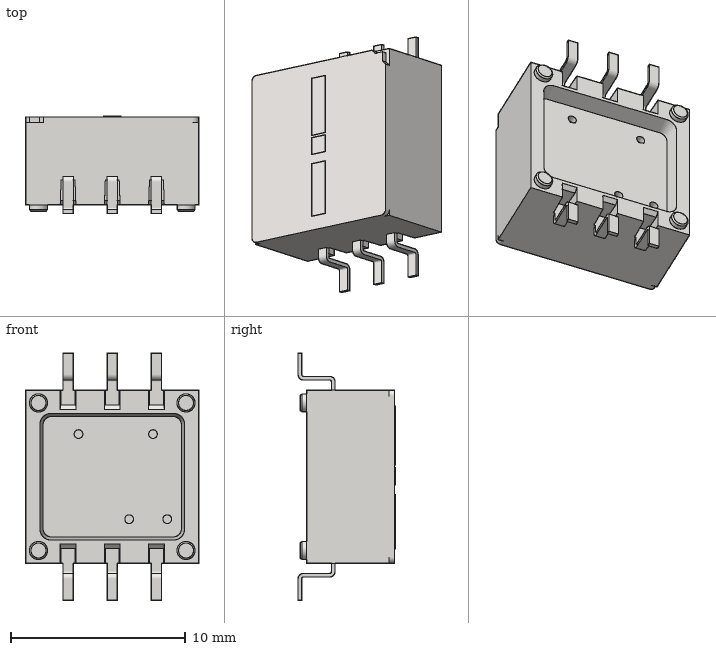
import cadquery as cq
import math


body_side = 9.95
body_depth = 5.06
half_side = body_side / 2

pocket_width = 8.32
pocket_height = 7.29
pocket_depth = 1.0
pocket_inset = 0.185
pocket_corner_radius = 0.66
pocket_taper = math.degrees(math.atan2(pocket_inset, pocket_depth))

dimple_diameter = 0.5
dimple_depth = 0.5
dimple_centres = [(-1.94, 2.45), (2.34, 2.45), (0.97, -2.44), (3.16, -2.44)]

peg_diameter = 1.04
peg_height = 0.37
peg_chamfer = 0.09
peg_spacing = 8.48

lead_pitch = 2.54
lead_width = 0.6
lead_thickness = 0.22
lead_inner_radius = 0.1
lead_outer_radius = lead_inner_radius + lead_thickness
lead_span = 14.2
lead_standoff = 0.5
lead_leg_back = 1.64
lead_bar_top = 5.77
lead_root_depth = 0.5
lead_root_z = half_side - lead_root_depth
lead_columns = [-lead_pitch, 0, lead_pitch]

slot_floor_y = lead_leg_back - lead_thickness
slot_mouth_width = 0.9
slot_floor_width = 0.8
slot_floor_length = 0.86
slot_chamfer = 0.24

mark_depth = 0.33
mark_radius = 0.33
key_length = 1.01
key_setback = 0.23

strip_height = 0.05
strip_width = 1.0
strip_spans = [(-4.15, -1.02), (-0.47, 0.53), (0.67, 4.07)]


def front_plane(y):
    """Sketch plane at the given y: local x is X, local y is Z, normal is -Y."""
    return cq.Workplane("XZ", origin=(0, y, 0))


def make_housing():
    return front_plane(0).rect(body_side, body_side).extrude(-body_depth)


def make_pocket():
    outline = cq.Sketch().rect(pocket_width, pocket_height).vertices().fillet(pocket_corner_radius)
    return front_plane(0).placeSketch(outline).extrude(-pocket_depth, taper=pocket_taper)


def make_dimples():
    floor = front_plane(pocket_depth).pushPoints(dimple_centres)
    return floor.circle(dimple_diameter / 2).extrude(-dimple_depth)


def make_pegs():
    pegs = front_plane(0).rect(peg_spacing, peg_spacing, forConstruction=True).vertices()
    return pegs.circle(peg_diameter / 2).extrude(peg_height).faces("<Y").chamfer(peg_chamfer)


def make_slot(x):
    """Slot at the top edge: side walls narrow towards the floor, the end wall is chamfered at its mouth."""
    plan = (
        cq.Workplane("XY")
        .polyline([
            (x - slot_mouth_width / 2, 0),
            (x + slot_mouth_width / 2, 0),
            (x + slot_floor_width / 2, slot_floor_y),
            (x - slot_floor_width / 2, slot_floor_y),
        ])
        .close()
        .extrude(half_side)
    )
    end_z = half_side - slot_floor_length
    side = (
        cq.Workplane("YZ", origin=(x - slot_mouth_width / 2, 0, 0))
        .moveTo(0, half_side)
        .lineTo(0, end_z - slot_chamfer)
        .lineTo(slot_chamfer, end_z)
        .lineTo(slot_floor_y, end_z)
        .lineTo(slot_floor_y, half_side)
        .close()
        .extrude(slot_mouth_width)
    )
    return plan.intersect(side)


def make_lead(x):
    """Top lead: a leg rising from the housing, a bar running forwards and an upright foot."""
    foot_front = -lead_standoff
    foot_back = foot_front + lead_thickness
    leg_front = lead_leg_back - lead_thickness
    bar_bottom = lead_bar_top - lead_thickness
    lead = (
        cq.Workplane("YZ", origin=(x - lead_width / 2, 0, 0))
        .moveTo(lead_leg_back, lead_root_z)
        .lineTo(lead_leg_back, lead_bar_top)
        .lineTo(foot_back, lead_bar_top)
        .lineTo(foot_back, lead_span / 2)
        .lineTo(foot_front, lead_span / 2)
        .lineTo(foot_front, bar_bottom)
        .lineTo(leg_front, bar_bottom)
        .lineTo(leg_front, lead_root_z)
        .close()
        .extrude(lead_width)
    )
    outer_bends = [(lead_leg_back, lead_bar_top), (foot_front, bar_bottom)]
    inner_bends = [(foot_back, lead_bar_top), (leg_front, bar_bottom)]
    for bends, radius in [(outer_bends, lead_outer_radius), (inner_bends, lead_inner_radius)]:
        for y, z in bends:
            lead = lead.edges(cq.selectors.NearestToPointSelector((x, y, z))).fillet(radius)
    return lead


def make_corner_key():
    """Angled step cut around the -X, +Z corner of the back face."""
    left = -half_side
    top = half_side
    return (
        front_plane(body_depth)
        .polyline([
            (left, top),
            (left + key_length, top),
            (left + key_length - key_setback, top - key_setback),
            (left + key_setback, top - key_setback),
            (left + key_setback, top - key_length + key_setback),
            (left, top - key_length),
        ])
        .close()
        .extrude(mark_depth)
    )


def make_corner_round(side_x, side_z):
    """Waste outside a rounded corner of the back face; side_x and side_z are +1 or -1."""
    inset = half_side - mark_radius
    waste_centre = half_side - mark_radius / 2
    block = (
        front_plane(body_depth)
        .center(side_x * waste_centre, side_z * waste_centre)
        .rect(mark_radius, mark_radius)
        .extrude(mark_depth)
    )
    rounding = front_plane(body_depth).center(side_x * inset, side_z * inset).circle(mark_radius)
    return block.cut(rounding.extrude(mark_depth))


def make_strip(lower_z, upper_z):
    strip = front_plane(body_depth).center(0, (lower_z + upper_z) / 2)
    return strip.rect(strip_width, upper_z - lower_z).extrude(-strip_height)


result = make_housing().cut(make_pocket()).cut(make_dimples())

result = result.cut(make_corner_key())
for side_x, side_z in [(1, 1), (1, -1), (-1, -1)]:
    result = result.cut(make_corner_round(side_x, side_z))

for x in lead_columns:
    slot = make_slot(x)
    result = result.cut(slot).cut(slot.mirror("XY"))

for x in lead_columns:
    lead = make_lead(x)
    result = result.union(lead).union(lead.mirror("XY"))

result = result.union(make_pegs())
for lower_z, upper_z in strip_spans:
    result = result.union(make_strip(lower_z, upper_z))